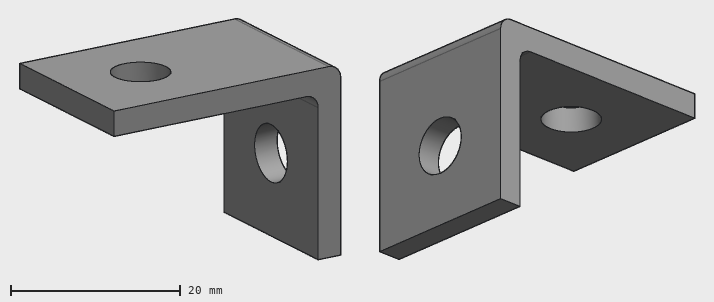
import cadquery as cq

width = 20.65
shelf_length = 31.75
leg_height = 23.8
thickness = 3.18
bend_radius = 1.68
hole_diameter = 7.15
hole_edge_distance = width / 2


def make_bracket():
    """L-shaped bracket: horizontal shelf along Y, leg hanging from its +Y end."""
    shelf = cq.Workplane("XY").box(width, shelf_length, thickness, centered=(True, False, False))
    shelf = shelf.translate((0, 0, leg_height - thickness))
    leg = cq.Workplane("XY").box(width, thickness, leg_height, centered=(True, False, False))
    leg = leg.translate((0, shelf_length - thickness, 0))
    return shelf.union(leg, clean=True)


def round_bend(bracket):
    """Round the outer and the inner corner of the bend."""
    outer_corner = cq.selectors.NearestToPointSelector((0, shelf_length, leg_height))
    inner_corner = cq.selectors.NearestToPointSelector(
        (0, shelf_length - thickness, leg_height - thickness)
    )
    return bracket.edges(outer_corner).fillet(bend_radius).edges(inner_corner).fillet(bend_radius)


def shelf_hole():
    """Vertical cutter, placed from the free end of the shelf."""
    hole = cq.Workplane("XY").center(0, hole_edge_distance)
    return hole.circle(hole_diameter / 2).extrude(leg_height)


def leg_hole():
    """Cutter along Y, placed from the free end of the leg."""
    hole = cq.Workplane("XZ").center(0, hole_edge_distance)
    return hole.circle(hole_diameter / 2).extrude(-shelf_length)


result = round_bend(make_bracket()).cut(shelf_hole()).cut(leg_hole())